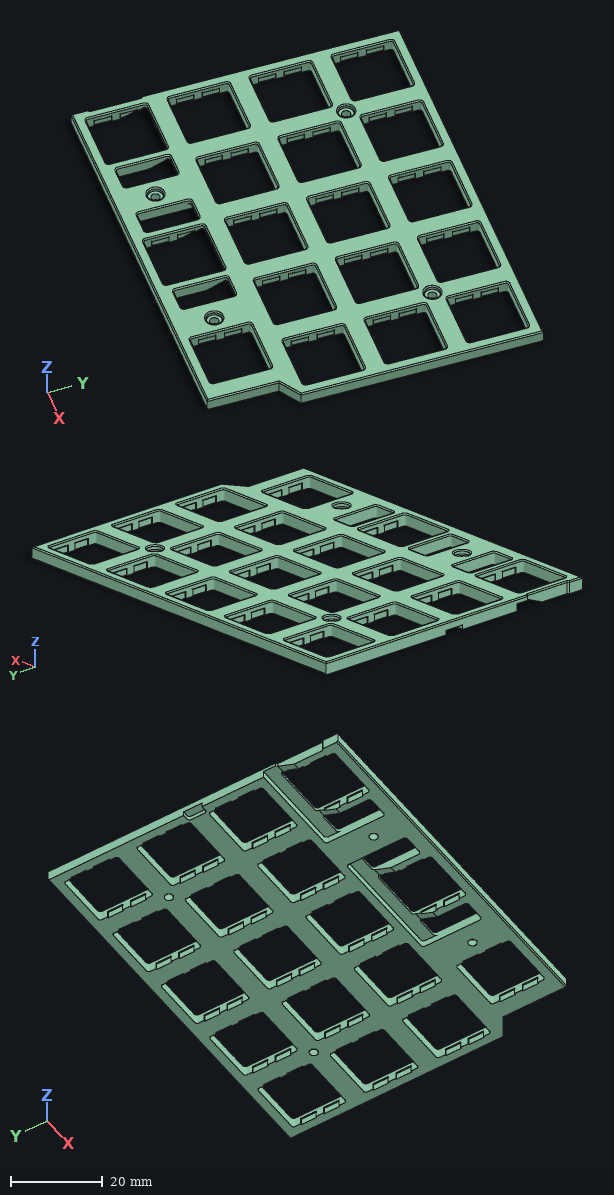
import cadquery as cq
LENGTH = 95.05
WIDTH = 76.23
THICKNESS = 3.0
EDGE_CHAMFER = 0.3

CORNER_CUT_X = 5.0
CORNER_CUT_TOP = 20.0
CORNER_CUT_BOTTOM = 16.7

SIDE_RELIEF_DEPTH = 0.4
SIDE_RELIEF_START = 3.9
SIDE_RELIEF_END = 16.4

KEY_PITCH = 19.0
KEY_SIZE = 14.1
OPENING_CORNER_RADIUS = 0.6
COLUMNS = 5
ROWS = 4
FIRST_KEY_X = (LENGTH - (COLUMNS - 1) * KEY_PITCH) / 2
FIRST_KEY_Y = (WIDTH - (ROWS - 1) * KEY_PITCH) / 2
LAST_KEY_OFFSET = 68.9

CLIP_LAND = 1.3
CLIP_DEPTH = 0.3
CLIP_LENGTH = 4.0
CLIP_SPACING = 6.0

WINDOW_WIDTH = 5.9
WINDOW_LENGTH = 12.5
WINDOW_Y = FIRST_KEY_Y + 0.5
WINDOW_XS = (21.5, 35.5, 59.6)

SCREW_DIAMETER = 2.0
SCREW_HEAD_DIAMETER = 3.6
SCREW_HEAD_DEPTH = 1.0
SCREW_CHAMFER = 0.3
LAST_SCREW_OFFSET = 57.9

TROUGH_HEIGHT = 1.75
TROUGH_NORTH = 19.5
TROUGH_SLOPE_TOP = 16.0
TROUGH_SLOPE_BOTTOM = 11.7
TROUGH_CORNER_RADIUS = 0.7

POCKET_LENGTH = 4.8
POCKET_HEIGHT = 1.1
POCKET_DEPTH = 2.0
POCKET_CORNER_RADIUS = 0.7


def key_x(column):
    return FIRST_KEY_X + column * KEY_PITCH


def key_y(row):
    return FIRST_KEY_Y + row * KEY_PITCH


def make_plate():
    """Outline chamfered all round the top, and along the front and back edges of the bottom."""
    outline = [
        (0, 0),
        (LENGTH - CORNER_CUT_X, 0),
        (LENGTH - CORNER_CUT_X, CORNER_CUT_BOTTOM),
        (LENGTH, CORNER_CUT_TOP),
        (LENGTH, WIDTH),
        (0, WIDTH),
        (0, SIDE_RELIEF_END),
        (SIDE_RELIEF_DEPTH, SIDE_RELIEF_END - SIDE_RELIEF_DEPTH),
        (SIDE_RELIEF_DEPTH, SIDE_RELIEF_START + SIDE_RELIEF_DEPTH),
        (0, SIDE_RELIEF_START),
    ]
    plate = cq.Workplane("XY").polyline(outline).close().extrude(THICKNESS)
    plate = plate.faces(">Z").edges().chamfer(EDGE_CHAMFER)
    return plate.edges("|X and <Z").chamfer(EDGE_CHAMFER)


def key_centers():
    """Full grid in the upper rows; the bottom row has three keys."""
    centers = [(key_x(column), key_y(row)) for row in range(1, ROWS) for column in range(COLUMNS)]
    bottom_row = (key_x(0), key_x(COLUMNS // 2), FIRST_KEY_X + LAST_KEY_OFFSET)
    return centers + [(x, key_y(0)) for x in bottom_row]


def opening_cutter(centers, width, length):
    """Rounded through openings at the given centers."""
    cutter = cq.Workplane("XY").pushPoints(centers).rect(width, length).extrude(THICKNESS)
    return cutter.edges("|Z").fillet(OPENING_CORNER_RADIUS)


def cut_openings(plate):
    """Key openings and narrow windows, all chamfered at the top face."""
    windows = [(x, WINDOW_Y) for x in WINDOW_XS]
    plate = plate.cut(opening_cutter(key_centers(), KEY_SIZE, KEY_SIZE))
    plate = plate.cut(opening_cutter(windows, WINDOW_WIDTH, WINDOW_LENGTH))
    rim_edges = [edge for wire in plate.faces(">Z").val().innerWires() for edge in wire.Edges()]
    return plate.newObject(rim_edges).chamfer(EDGE_CHAMFER)


def cut_clip_notches(plate):
    """Two notches under each side wall of every key opening, below a thin land."""
    width = KEY_SIZE + 2 * CLIP_DEPTH
    notches = cq.Workplane("XY").pushPoints(
        [(x, y + side * CLIP_SPACING / 2) for x, y in key_centers() for side in (-1, 1)]
    )
    return plate.cut(notches.rect(width, CLIP_LENGTH).extrude(THICKNESS - CLIP_LAND))


def cut_screw_holes(plate):
    """Two screws at crossings of the upper ribs, two in the bottom row; rims are chamfered."""
    screws = [
        (key_x(0.5), key_y(2.5)),
        (key_x(3.5), key_y(2.5)),
        (key_x(1), key_y(0)),
        (FIRST_KEY_X + LAST_SCREW_OFFSET, key_y(0)),
    ]
    top = plate.faces(">Z").workplane(origin=(0, 0, THICKNESS)).pushPoints(screws)
    plate = top.cboreHole(SCREW_DIAMETER, SCREW_HEAD_DIAMETER, SCREW_HEAD_DEPTH)
    rim_radius = SCREW_HEAD_DIAMETER / 2
    rims = cq.Workplane("XY")
    for x, y in screws:
        cone = cq.Solid.makeCone(
            rim_radius,
            rim_radius + SCREW_CHAMFER,
            SCREW_CHAMFER,
            pnt=cq.Vector(x, y, THICKNESS - SCREW_CHAMFER),
        )
        rims = rims.add(cone)
    return plate.cut(rims.combine())


def trough_cutter(x_min, x_max, rounded_corners):
    """Underside trough: upright north wall, flat ceiling, south side sloping to the bottom face."""
    profile = [
        (TROUGH_NORTH, 0),
        (TROUGH_NORTH, TROUGH_HEIGHT),
        (TROUGH_SLOPE_TOP, TROUGH_HEIGHT),
        (TROUGH_SLOPE_BOTTOM, 0),
    ]
    trough = cq.Workplane("YZ").polyline(profile).close().extrude(x_max - x_min)
    trough = trough.edges(rounded_corners).fillet(TROUGH_CORNER_RADIUS)
    return trough.translate((x_min, 0, 0))


def cut_troughs(plate):
    """One trough from the left edge to the first window, one from the second to the third."""
    half_window = WINDOW_WIDTH / 2
    first, second, third = WINDOW_XS
    plate = plate.cut(trough_cutter(0, first + half_window, "|Z and >X"))
    return plate.cut(trough_cutter(second - half_window, third + half_window, "|Z"))


def cut_edge_pocket(plate):
    """Blind pocket with rounded inner corners, open at the left edge and the bottom face."""
    center = (POCKET_DEPTH / 2, WIDTH / 2)
    pocket = cq.Workplane("XY").center(*center).rect(POCKET_DEPTH, POCKET_LENGTH).extrude(POCKET_HEIGHT)
    return plate.cut(pocket.edges("|Z and >X").fillet(POCKET_CORNER_RADIUS))


result = make_plate()
result = cut_openings(result)
result = cut_clip_notches(result)
result = cut_screw_holes(result)
result = cut_troughs(result)
result = cut_edge_pocket(result)